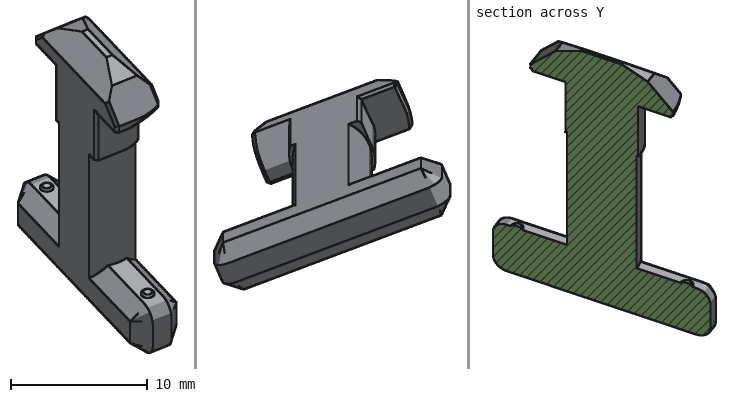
import cadquery as cq
import math

total_height = 23.55
thickness = 4.0
half_thickness = thickness / 2

bar_length = 18.0
bar_height = 4.5
bar_bevel = 1.2
flat_half_width = half_thickness - bar_bevel

peg_offset = 7.0
peg_base_radius = 0.5
peg_top_radius = 0.33
peg_height = 0.2

stem_radius = 2.9
shoulder_z = 15.24
neck_half_width = 3.01
neck_arc_radius = 2.52
neck_arc_start_y = -0.47

head_radius = 5.89
head_bottom_z = 19.8
head_wall_top_z = 20.63
slope_top_x = 3.8
crown_half_length = 1.7
crown_half_width = 0.25
underside_angle = 15.0
underside_break_y = 0.78
edge_chamfer = 0.24


def bevelled_bar(plane, outer_half_width, length):
    """Centred bar along the plane's normal, 45 degree bevels at its four corners."""
    section = [
        (-half_thickness, outer_half_width - bar_bevel),
        (-flat_half_width, outer_half_width),
        (flat_half_width, outer_half_width),
        (half_thickness, outer_half_width - bar_bevel),
    ]
    opposite = [(-across, -outward) for across, outward in section]
    bar = cq.Workplane(plane).polyline(section + opposite).close()
    return bar.extrude(length / 2, both=True)


def make_corner(x_side, z_side):
    """Quarter-turn corner of the crossbar, with conical front and back."""
    start_angle = {(1, 1): 0, (1, -1): 90, (-1, -1): 180, (-1, 1): 270}[x_side, z_side]
    profile = [
        (0, -half_thickness),
        (bar_bevel, -flat_half_width),
        (bar_bevel, flat_half_width),
        (0, half_thickness),
    ]
    corner = cq.Workplane("XY").polyline(profile).close().revolve(90, (0, 0, 0), (0, -1, 0))
    corner = corner.rotate((0, 0, 0), (0, 1, 0), start_angle)
    corner_x = x_side * (bar_length / 2 - bar_bevel)
    corner_z = z_side * (bar_height / 2 - bar_bevel)
    return corner.translate((corner_x, 0, corner_z))


def make_crossbar():
    """Rounded bar whose front and back outlines are bevelled all round."""
    straight_length = bar_length - 2 * bar_bevel
    straight_height = bar_height - 2 * bar_bevel
    lengthwise = bevelled_bar("YZ", bar_height / 2, straight_length)
    upright = bevelled_bar(cq.Plane((0, 0, 0), (0, 1, 0), (0, 0, 1)), bar_length / 2, straight_height)
    bar = lengthwise.union(upright)
    for x_side in (-1, 1):
        for z_side in (-1, 1):
            bar = bar.union(make_corner(x_side, z_side))
    return bar.translate((0, 0, bar_height / 2))


def make_peg(x):
    profile = [
        (0, 0),
        (peg_base_radius, 0),
        (peg_top_radius, peg_height),
        (0, peg_height),
    ]
    peg = cq.Workplane("XZ").polyline(profile).close().revolve(360, (0, 0, 0), (0, 1, 0))
    return peg.translate((x, 0, bar_height))


def make_lower_stem():
    """Cylinder with flats at the front and back, sunk into the crossbar."""
    start_z = bar_height / 2
    length = shoulder_z - start_z
    cylinder = cq.Workplane("XY").circle(stem_radius).extrude(length)
    slab = cq.Workplane("XY").rect(2 * stem_radius, thickness).extrude(length)
    return cylinder.intersect(slab).translate((0, 0, start_z))


def make_half_neck():
    """Left half of the upper stem: rounded front corner, chamfered back corner."""

    def arc_x(y):
        drop = y - neck_arc_start_y
        return -neck_half_width + neck_arc_radius - math.sqrt(neck_arc_radius**2 - drop**2)

    middle_y = (neck_arc_start_y - half_thickness) / 2
    return (
        cq.Workplane("XY", origin=(0, 0, shoulder_z))
        .moveTo(0, half_thickness)
        .lineTo(-neck_half_width + edge_chamfer, half_thickness)
        .lineTo(-neck_half_width, half_thickness - edge_chamfer)
        .lineTo(-neck_half_width, neck_arc_start_y)
        .threePointArc((arc_x(middle_y), middle_y), (arc_x(-half_thickness), -half_thickness))
        .lineTo(0, -half_thickness)
        .close()
        .extrude(head_wall_top_z - shoulder_z)
    )


def make_half_head():
    """Left arm of the head, cut from its side, end and plan outlines."""
    side_outline = [
        (0, head_bottom_z),
        (-head_radius, head_bottom_z),
        (-head_radius, head_wall_top_z),
        (-slope_top_x, head_wall_top_z + head_radius - slope_top_x),
        (-crown_half_length, total_height),
        (0, total_height),
    ]
    arm = cq.Workplane("XZ").polyline(side_outline).close().extrude(half_thickness, both=True)

    ridge_z = total_height - (half_thickness - crown_half_width)
    underside_rise = (half_thickness + underside_break_y) * math.tan(math.radians(underside_angle))
    end_outline = [
        (half_thickness, head_bottom_z),
        (half_thickness, ridge_z),
        (crown_half_width, total_height),
        (-crown_half_width, total_height),
        (-half_thickness, ridge_z),
        (-half_thickness, head_bottom_z + underside_rise),
        (underside_break_y, head_bottom_z),
    ]
    arm = arm.intersect(cq.Workplane("YZ").polyline(end_outline).close().extrude(-head_radius))

    front_x = -math.sqrt(head_radius**2 - half_thickness**2)
    middle_y = -half_thickness / 2
    middle_x = -math.sqrt(head_radius**2 - middle_y**2)
    plan = (
        cq.Workplane("XY")
        .moveTo(0, half_thickness)
        .lineTo(-head_radius, half_thickness)
        .lineTo(-head_radius, 0)
        .threePointArc((middle_x, middle_y), (front_x, -half_thickness))
        .lineTo(0, -half_thickness)
        .close()
        .extrude(total_height)
    )
    arm = arm.intersect(plan)

    tolerance = 0.002

    def needs_chamfer(edge):
        box = edge.BoundingBox()
        on_back = box.ymin > half_thickness - tolerance
        on_front = box.ymax < tolerance - half_thickness
        at_end = box.xmax < -slope_top_x
        along_bottom = box.zmax < head_bottom_z + tolerance
        under_wall = box.xmax < front_x + tolerance and box.zmax < head_wall_top_z - tolerance
        return under_wall or (on_front and at_end) or (on_back and (at_end or along_bottom))

    chosen = [edge for edge in arm.edges().vals() if needs_chamfer(edge)]
    return arm.newObject(chosen).chamfer(edge_chamfer)


half_top = make_half_neck().union(make_half_head())
other_half_top = half_top.rotate((0, 0, 0), (0, 0, 1), 180)
result = make_crossbar().union(make_lower_stem()).union(half_top).union(other_half_top)
for side in (-1, 1):
    result = result.union(make_peg(side * peg_offset))